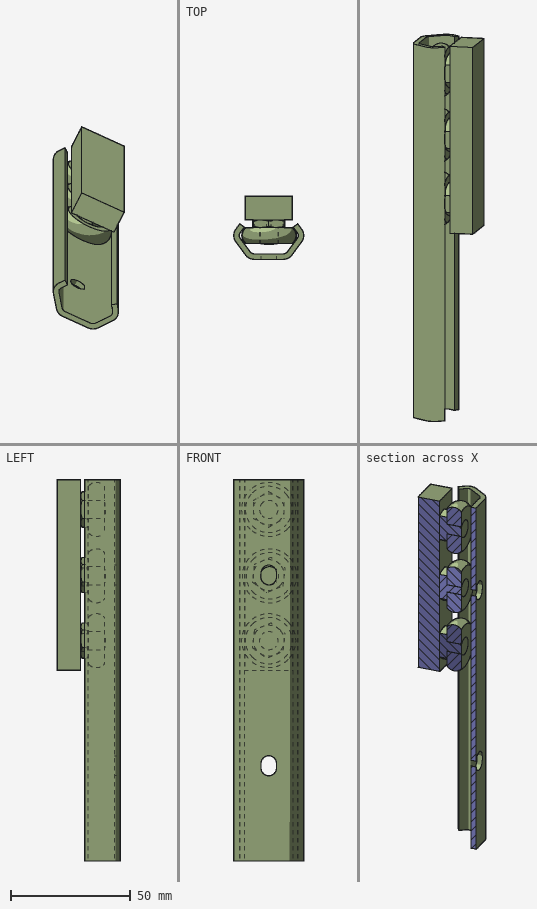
import cadquery as cq
import math

rail_length = 160.0
rail_width = 29.5
rail_depth = 15.0
rail_wall = 2.4
flank_angle = 53.5
floor_bend_radius = 4.8
side_bend_radius = 4.5

slot_width = 6.4
slot_length = 8.3
slot_heights = [0.25 * rail_length, 0.75 * rail_length]

roller_width = 6.7
roller_center_y = 10.0
roller_rim_radius = 11.4
roller_face_radius = 9.8
roller_pitch = 27.5

stud_diameter = 7.7
dome_height = 0.5
collar_sides = 6
collar_across_flats = 13.0
collar_chamfer_angle = 30.0
collar_turns = [7.0, 7.0, 0.0]

eccentric_x = 0.3
eccentric_z = -0.3

block_width = 19.8
block_depth = 10.0
block_length = 80.0
overall_depth = 26.5

roller_front_y = roller_center_y - roller_width / 2
roller_back_y = roller_center_y + roller_width / 2
block_front_y = overall_depth - block_depth
block_center_z = rail_length - block_length / 2
axle_heights = [block_center_z + step * roller_pitch for step in (-1, 0, 1)]
roller_offsets = [(0, 0), (eccentric_x, eccentric_z), (0, 0)]


def rail_side(inset):
    """Right half of the strip's surface, `inset` below its outer face, from the floor to the lip.

    Returns the floor tangent point, bend middle, bend end, side bend start, middle and end, and lip.
    """
    tilt = math.radians(flank_angle)
    side_x = rail_width / 2 - side_bend_radius
    side_y = roller_center_y
    radius_gap = side_bend_radius - floor_bend_radius
    floor_x = side_x + (radius_gap - (side_y - floor_bend_radius) * math.cos(tilt)) / math.sin(tilt)

    def on_arc(center_x, center_y, radius, angle):
        return (center_x + radius * math.cos(angle), center_y + radius * math.sin(angle))

    floor_radius = floor_bend_radius - inset
    side_radius = side_bend_radius - inset
    down = -math.pi / 2
    floor_start = on_arc(floor_x, floor_bend_radius, floor_radius, down)
    floor_middle = on_arc(floor_x, floor_bend_radius, floor_radius, down + tilt / 2)
    floor_end = on_arc(floor_x, floor_bend_radius, floor_radius, down + tilt)
    side_start = on_arc(side_x, side_y, side_radius, down + tilt)
    side_middle = on_arc(side_x, side_y, side_radius, 0)
    side_end = on_arc(side_x, side_y, side_radius, -down - tilt)
    outer_end_y = side_y + side_bend_radius * math.cos(tilt)
    lip_rise = rail_depth - outer_end_y
    lip = (side_end[0] - lip_rise / math.tan(tilt), side_end[1] + lip_rise)
    return [floor_start, floor_middle, floor_end, side_start, side_middle, side_end, lip]


def make_rail():
    """Half section extruded along Z, mirrored, then slotted through its floor."""
    outer = rail_side(0)
    inner = rail_side(rail_wall)
    half = (
        cq.Workplane("XY")
        .moveTo(0, 0)
        .lineTo(*outer[0])
        .threePointArc(outer[1], outer[2])
        .lineTo(*outer[3])
        .threePointArc(outer[4], outer[5])
        .lineTo(*outer[6])
        .lineTo(*inner[6])
        .lineTo(*inner[5])
        .threePointArc(inner[4], inner[3])
        .lineTo(*inner[2])
        .threePointArc(inner[1], inner[0])
        .lineTo(0, rail_wall)
        .close()
        .extrude(rail_length)
    )
    rail = half.union(half.mirror("YZ"))
    slots = (
        cq.Workplane("XZ")
        .pushPoints([(0, height) for height in slot_heights])
        .slot2D(slot_length, slot_width, 90)
        .extrude(-rail_wall)
    )
    return rail.cut(slots)


def make_block():
    """Plain bar standing on the backs of the collars, level with the upper rail end."""
    return cq.Workplane("XY").box(block_width, block_depth, block_length).translate(
        (0, block_front_y + block_depth / 2, block_center_z)
    )


def make_roller(height, offset):
    """Ring around a Y axis, its rim a circular arc in section."""
    bore_radius = stud_diameter / 2
    roller = (
        cq.Workplane("XY")
        .moveTo(bore_radius, roller_front_y)
        .lineTo(roller_face_radius, roller_front_y)
        .threePointArc((roller_rim_radius, roller_center_y), (roller_face_radius, roller_back_y))
        .lineTo(bore_radius, roller_back_y)
        .close()
        .revolve(360, (0, 0), (0, 1))
    )
    return roller.translate((offset[0], 0, height + offset[1]))


def make_collar(turn):
    """Hexagon with two flats facing along X before the turn, its corners chamfered at both ends."""
    corner_radius = collar_across_flats / math.sqrt(3)
    flat_radius = collar_across_flats / 2
    chamfer_drop = (corner_radius - flat_radius) * math.tan(math.radians(collar_chamfer_angle))
    flats_along_x = 180 / collar_sides
    hexagon = (
        cq.Workplane("XZ", origin=(0, roller_back_y, 0))
        .polygon(collar_sides, 2 * corner_radius)
        .extrude(roller_back_y - block_front_y)
        .rotate((0, 0, 0), (0, 1, 0), flats_along_x + turn)
    )
    envelope = (
        cq.Workplane("XY")
        .moveTo(0, roller_back_y)
        .lineTo(flat_radius, roller_back_y)
        .lineTo(corner_radius, roller_back_y + chamfer_drop)
        .lineTo(corner_radius, block_front_y - chamfer_drop)
        .lineTo(flat_radius, block_front_y)
        .lineTo(0, block_front_y)
        .close()
        .revolve(360, (0, 0), (0, 1))
    )
    return hexagon.intersect(envelope)


def make_axle(height, offset, turn):
    """Stud with a spherical dome at its front end, joined to its collar."""
    stud_radius = stud_diameter / 2
    dome_radius = (stud_radius**2 + dome_height**2) / (2 * dome_height)
    apex_y = roller_front_y - dome_height
    stud = (
        cq.Workplane("XZ", origin=(0, apex_y, 0))
        .circle(stud_radius)
        .extrude(apex_y - roller_back_y)
        .intersect(cq.Workplane("XY").sphere(dome_radius).translate((0, apex_y + dome_radius, 0)))
    )
    axle = make_collar(turn).union(stud.translate((offset[0], 0, offset[1])))
    return axle.translate((0, 0, height))


rail = make_rail()
block = make_block()
rollers = []
axles = []
for height, offset, turn in zip(axle_heights, roller_offsets, collar_turns):
    rollers.append(make_roller(height, offset))
    axles.append(make_axle(height, offset, turn))

result = cq.Compound.makeCompound(
    [rail.val(), block.val(), *[roller.val() for roller in rollers], *[axle.val() for axle in axles]]
)